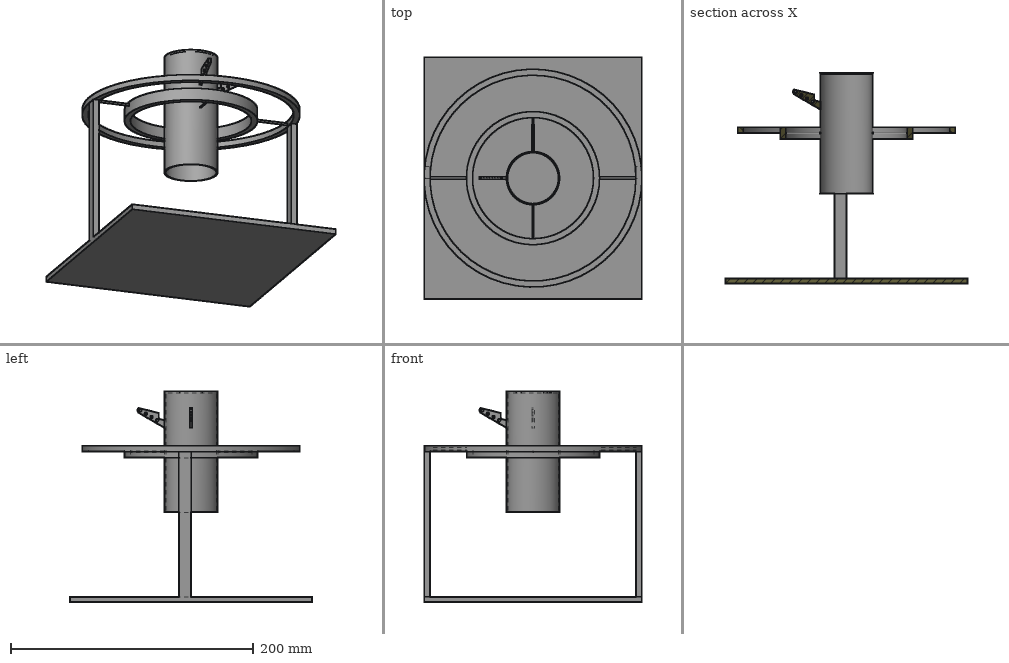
import cadquery as cq
import math

base_length_x = 180.0
base_width_y = 200.0
base_thickness = 4.43
post_thickness = 5.0
post_width = 10.0
post_height = 120.0
post_top = base_thickness + post_height

outer_ring_diameter = 180.0
outer_ring_bore = 170.0
outer_ring_height = 5.0
outer_ring_top = post_top + outer_ring_height

inner_ring_diameter = 110.0
inner_ring_bore = 100.0
inner_ring_height = 10.0
inner_ring_bottom = outer_ring_top - inner_ring_height
inner_ring_middle = inner_ring_bottom + inner_ring_height / 2

tube_diameter = 44.0
tube_bore = 42.0
tube_length = 100.0
tube_bottom = inner_ring_middle - tube_length / 2
tube_top = tube_bottom + tube_length
tube_bevel_height = 1.5

outer_pin_diameter = 2.0
outer_pin_height = post_top + outer_ring_height / 2
inner_pin_diameter = 1.0
inner_pin_height = inner_ring_middle

lever_thickness = 2.0
lever_tip_radius = 2.45
lever_tip_reach = 41.85
lever_tip_height = tube_bottom + 84.0
lever_upper_offset = 1.7
lever_lower_slope = math.radians(30.25)
lever_upper_slope = math.radians(14.0)
lever_neck_slope = math.radians(12.0)
lever_shoulder_reach = 26.45
lever_neck_bevel = 1.0
lever_neck_reach = lever_shoulder_reach - lever_neck_bevel
lever_neck_height = tube_bottom + 76.8
lever_hole_diameter = 2.0
lever_hole_pitch = 5.35
lever_hole_count = 4


def ring(outer_diameter, bore, bottom, height):
    """Plain ring around the Z axis."""
    profile = cq.Workplane("XY").workplane(offset=bottom).circle(outer_diameter / 2).circle(bore / 2)
    return profile.extrude(height)


def make_frame():
    """Base plate and both posts as one body; one edge of each post lies on the X axis."""
    frame = cq.Workplane("XY").box(base_length_x, base_width_y, base_thickness, centered=(True, True, False))
    post_offset = (base_length_x - post_thickness) / 2
    for side in (-1, 1):
        post = cq.Workplane("XY").box(post_thickness, post_width, post_height, centered=(True, False, False))
        frame = frame.union(post.translate((side * post_offset, 0, base_thickness)))
    return frame


def make_tube():
    """Tube turned from its wall section."""
    inner = tube_bore / 2
    outer = tube_diameter / 2
    wall = [(inner, tube_bottom), (outer, tube_bottom), (outer, tube_top), (inner, tube_top - tube_bevel_height)]
    return cq.Workplane("XZ").polyline(wall).close().revolve(360, (0, 0, 0), (0, 1, 0))


def make_pin(diameter, start, end, height, angle):
    """Radial pin between two distances from the Z axis, turned about Z from the +X direction."""
    pin = cq.Workplane("YZ").workplane(offset=start).center(0, height).circle(diameter / 2)
    return pin.extrude(end - start).rotate((0, 0, 0), (0, 0, 1), angle)


def tip_point(direction):
    """Point of the rounded lever tip in the given direction from the tip centre."""
    reach = lever_tip_reach + lever_tip_radius * math.cos(direction)
    return reach, lever_tip_height + lever_tip_radius * math.sin(direction)


def make_lever(angle):
    """Drilled lever plate with a rounded tip, trimmed to the tube wall and turned about Z."""
    corner_turn = math.acos(lever_upper_offset / lever_tip_radius)
    upper_direction = math.pi / 2 + lever_upper_slope - corner_turn
    lower_direction = lever_lower_slope - math.pi / 2
    upper_corner = tip_point(upper_direction)
    lower_tangent = tip_point(lower_direction)
    tip_end = tip_point((upper_direction + lower_direction) / 2)

    root_reach = tube_bore / 2
    root_bottom = lower_tangent[1] - (lower_tangent[0] - root_reach) * math.tan(lever_lower_slope)
    root_top = lever_neck_height - (lever_neck_reach - root_reach) * math.tan(lever_neck_slope)
    shoulder_drop = (upper_corner[0] - lever_shoulder_reach) * math.tan(lever_upper_slope)
    shoulder_top = upper_corner[1] - shoulder_drop

    plate = (
        cq.Workplane("XZ")
        .moveTo(root_reach, root_bottom)
        .lineTo(*lower_tangent)
        .threePointArc(tip_end, upper_corner)
        .lineTo(lever_shoulder_reach, shoulder_top)
        .lineTo(lever_shoulder_reach, lever_neck_height + lever_neck_bevel)
        .lineTo(lever_neck_reach, lever_neck_height)
        .lineTo(root_reach, root_top)
        .close()
        .extrude(lever_thickness / 2, both=True)
    )
    hole_centres = [
        (
            lever_tip_reach - i * lever_hole_pitch * math.cos(lever_lower_slope),
            lever_tip_height - i * lever_hole_pitch * math.sin(lever_lower_slope),
        )
        for i in range(lever_hole_count)
    ]
    holes = cq.Workplane("XZ").pushPoints(hole_centres).circle(lever_hole_diameter / 2)
    holes = holes.extrude(lever_thickness, both=True)
    tube_envelope = cq.Workplane("XY").workplane(offset=tube_bottom).circle(tube_diameter / 2)
    tube_envelope = tube_envelope.extrude(tube_length)
    lever = plate.cut(holes).cut(tube_envelope)
    return lever.rotate((0, 0, 0), (0, 0, 1), angle)


frame = make_frame()
outer_ring = ring(outer_ring_diameter, outer_ring_bore, post_top, outer_ring_height)
inner_ring = ring(inner_ring_diameter, inner_ring_bore, inner_ring_bottom, inner_ring_height)
tube = make_tube()

outer_pins = [
    make_pin(outer_pin_diameter, inner_ring_diameter / 2, outer_ring_bore / 2, outer_pin_height, angle)
    for angle in (0, 180)
]
inner_pins = [
    make_pin(inner_pin_diameter, tube_diameter / 2, inner_ring_bore / 2, inner_pin_height, angle)
    for angle in (90, 270)
]
levers = [make_lever(angle) for angle in (90, 180)]

bodies = [frame, outer_ring, inner_ring, tube, *outer_pins, *inner_pins, *levers]
result = cq.Compound.makeCompound([body.val() for body in bodies])